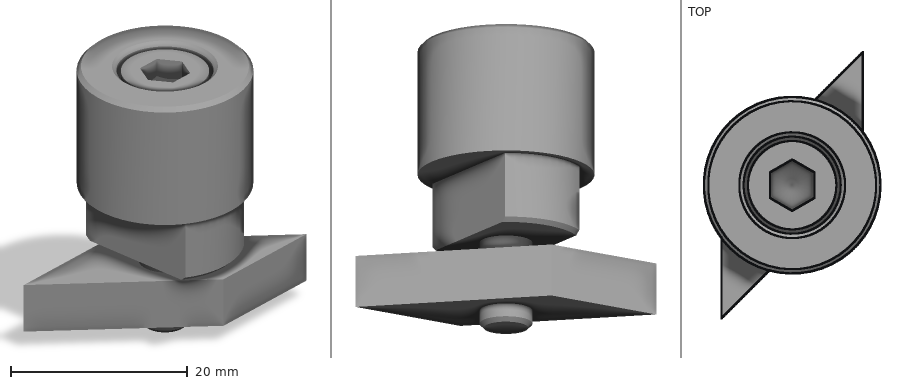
import cadquery as cq
import math

total_height = 33.0
edge_chamfer = 0.5

head_diameter = 20.0
head_height = 15.0
foot_diameter = 18.02
foot_height = 8.0
foot_width_across_flats = 10.0
counterbore_diameter = 11.0

shank_diameter = 6.0
screw_head_diameter = 10.0
screw_head_height = 6.0
screw_head_recess = 0.6
socket_across_flats = 5.0
socket_depth = 2.2
socket_cone_slope = 30.0
plate_bottom = 2.0
plate_thickness = 6.0
plate_width = 16.0
plate_length = 30.13

head_bottom = total_height - head_height
foot_bottom = head_bottom - foot_height
screw_top = total_height - screw_head_recess
seat_height = screw_top - screw_head_height
socket_corner_radius = socket_across_flats / math.sqrt(3)


def cylinder(diameter, bottom, top):
    """Cylinder on the Z axis between two heights."""
    return cq.Workplane("XY").workplane(offset=bottom).circle(diameter / 2).extrude(top - bottom)


def make_housing():
    """Round housing with a flatted foot and a counterbored hole for the screw."""
    head = cylinder(head_diameter, head_bottom, total_height).faces(">Z").chamfer(edge_chamfer)
    foot = cylinder(foot_diameter, foot_bottom, head_bottom).faces("<Z").chamfer(edge_chamfer)
    flats = (
        cq.Workplane("XY")
        .workplane(offset=foot_bottom)
        .rect(foot_diameter, foot_width_across_flats)
        .extrude(foot_height)
    )
    body = head.union(foot.intersect(flats))

    body = body.cut(cylinder(shank_diameter, foot_bottom, seat_height))
    body = body.cut(cylinder(counterbore_diameter, seat_height, total_height))
    return body.faces(">Z").edges(cq.selectors.RadiusNthSelector(0)).chamfer(edge_chamfer)


def make_socket():
    """Hexagonal socket with corners along Y and a conical floor."""
    cone_depth = socket_corner_radius * math.tan(math.radians(socket_cone_slope))
    corner_height = screw_top - socket_depth
    tip_height = corner_height - cone_depth
    prism = (
        cq.Workplane("XY")
        .workplane(offset=tip_height)
        .polygon(6, 2 * socket_corner_radius)
        .extrude(screw_top - tip_height)
        .rotate((0, 0, 0), (0, 0, 1), 90)
    )
    drill = (
        cq.Workplane("XZ")
        .moveTo(0, tip_height)
        .lineTo(socket_corner_radius, corner_height)
        .lineTo(socket_corner_radius, screw_top)
        .lineTo(0, screw_top)
        .close()
        .revolve(360, (0, 0, 0), (0, 1, 0))
    )
    return prism.intersect(drill)


def make_plate():
    """Parallelogram plate with two ends along Y and two sides at 45 degrees."""
    half_width = plate_width / 2
    half_length = plate_length / 2
    inner_corner = half_length - plate_width
    return (
        cq.Workplane("XY")
        .workplane(offset=plate_bottom)
        .moveTo(-half_width, -half_length)
        .lineTo(half_width, -inner_corner)
        .lineTo(half_width, half_length)
        .lineTo(-half_width, inner_corner)
        .close()
        .extrude(plate_thickness)
    )


def make_clamp():
    """Socket head screw and clamping plate in one piece."""
    shank = cylinder(shank_diameter, 0, seat_height).faces("<Z").chamfer(edge_chamfer)
    screw_head = cylinder(screw_head_diameter, seat_height, screw_top)
    return shank.union(screw_head).cut(make_socket()).union(make_plate())


housing = make_housing()
clamp = make_clamp()

result = cq.Compound.makeCompound([housing.solids().val(), clamp.solids().val()])